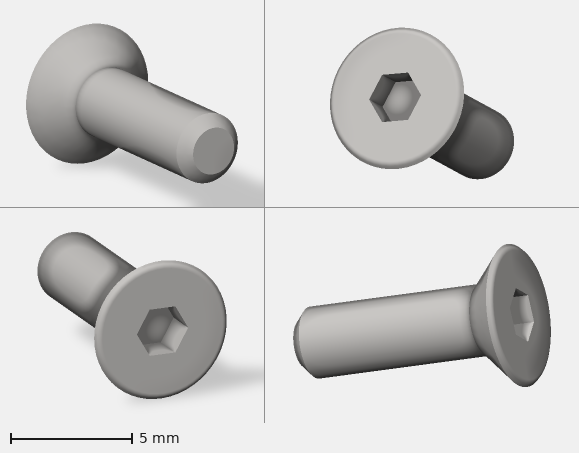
import cadquery as cq
import math

length = 10.0
head_diameter = 5.97
face_diameter = 5.62
shank_diameter = 3.0
head_height = 1.7
tip_chamfer = 0.5
socket_across_flats = 2.0
socket_depth = 1.5
face_edge_fillet = 0.22

head_radius = head_diameter / 2
face_radius = face_diameter / 2
shank_radius = shank_diameter / 2

rim_x = head_height - (head_radius - shank_radius)


def make_body():
    """Revolve head, shank and chamfered tip about X, then round the face edge."""
    return (
        cq.Workplane("XY")
        .lineTo(0, face_radius)
        .lineTo(rim_x, head_radius)
        .lineTo(head_height, shank_radius)
        .lineTo(length - tip_chamfer, shank_radius)
        .lineTo(length, shank_radius - tip_chamfer)
        .lineTo(length, 0)
        .close()
        .revolve(360, (0, 0, 0), (1, 0, 0))
        .faces("<X")
        .edges()
        .fillet(face_edge_fillet)
    )


def make_socket():
    """Hexagonal socket with two corners on the Y direction."""
    across_corners = socket_across_flats / math.cos(math.pi / 6)
    return cq.Workplane("YZ").polygon(6, across_corners).extrude(socket_depth)


result = make_body().cut(make_socket())